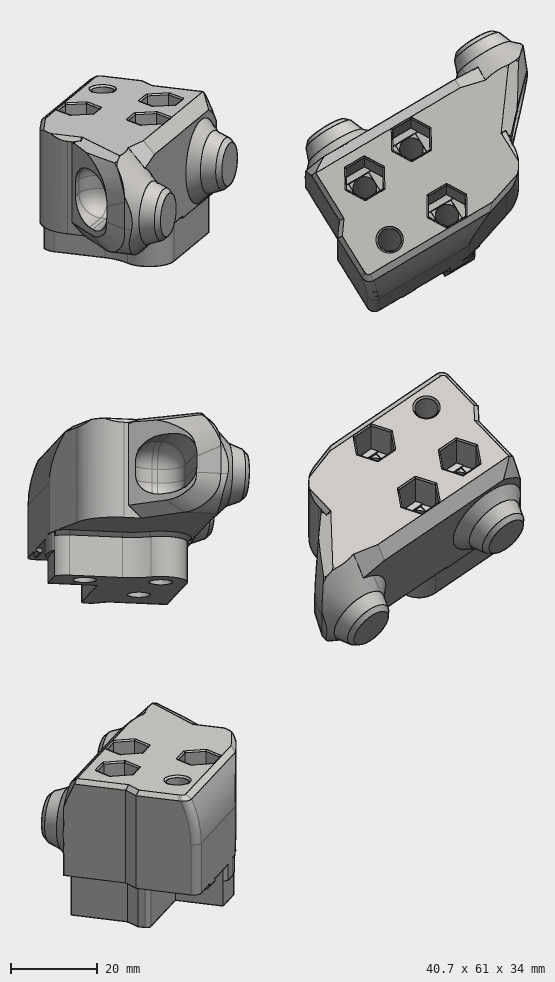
import cadquery as cq
import math

length_y = 60.95
height = 34.0
rear_bottom_z = 10.05
front_bottom_z = 10.5
right_x = 33.7
rear_step_y = 58.45
edge_chamfer = 1.05
right_chamfer = 2.9
far = 100.0

rear_corner_radius = 1.9
step_start_x = 15.2
step_end_x = 18.6
left_bend = (0.0, 34.75)
left_slant_end = (4.0, 22.2)
slant_chamfer_reach = 1.8
front_round_mid = (7.5, 16.9)
front_y = 14.9
front_round_end_x = 13.5
front_chamfer_end_x = 16.8

left_round_start_z = 22.2
left_round_mid = (0.68, 28.2)
left_round_end = (2.8, height)

wing_corner = (14.6, front_y)
wing_end = (28.0, 2.1)
wing_depth = 2.1
wing_face_bottom_z = 13.4
wing_face_top_z = 33.0
wing_face_round_start = 10.3
wing_face_arch_start = 3.5
wing_face_side_z = (19.0, 22.8)
wing_base_round_y = 6.8
wing_base_side_z = (18.5, 25.0)
wing_chamfer_drop = 1.1
wing_chamfer_inset = 2.4
wing_chamfer_start = (15.2, 14.13)
wing_chamfer_end = (36.5, -2.0)

boss_z = 20.2
front_boss_y = 8.6
boss_spacing = 40.0
boss_tip_x = 40.73
flare_end = (36.3, 7.4)
neck_end = (39.6, 6.14)
tip_radius = 5.09
flare_back = 16.0
corner_cone_base = (26.0, 24.0)
corner_cone_tip_x = 41.3
front_boss_blend_y = 11.6
turn_chamfer_start = (31.25, 8.2)
turn_chamfer_end_y = 18.2

recess_width = 12.08
recess_height = 14.0
recess_radius = 5.4
recess_x = 22.0
recess_z = 22.0
recess_end_y = 21.2

screw_diameter = 5.4
nut_width = 8.5
nut_chamfer = 0.35
nut_depth = 10.0
bridge_step = 0.3
plain_hole_chamfer = 0.45
plain_hole = (8.5, 51.0)
left_screw = (8.5, 35.55)
right_screw = (26.2, 34.45)
rear_screw = (23.9, 48.4)

foot_left_x = 0.9
foot_left_y = (32.9, 40.7)
foot_inner_x = 12.5
foot_rear_y = 59.5
foot_rear_step_y = 57.3
foot_front_y = 31.3
foot_corner_x = 4.0
foot_corner_radius = 3.8
foot_rear_radius = 1.1
foot_lobe_radius = 6.1
foot_blend_radius = 11.4
collar_height = 1.0
collar_end_y = 34.0
tab_bottom_z = 6.14
tab_y = (36.4, 39.7)
tab_front = (0.36, 34.0)
clip_y = 51.0
clip_half_widths = (1.85, 2.95)
clip_depth = 1.0
clip_bottom_z = 8.95
clip_chamfer = 0.5


def block(x0, x1, y0, y1, z0, z1):
    """Box between the given limits."""
    return cq.Workplane("XY").box(x1 - x0, y1 - y0, z1 - z0, centered=False).translate((x0, y0, z0))


wing_run = math.hypot(wing_end[0] - wing_corner[0], wing_end[1] - wing_corner[1])
along = ((wing_end[0] - wing_corner[0]) / wing_run, (wing_end[1] - wing_corner[1]) / wing_run)
inward = (-along[1], along[0])
base_origin = (wing_corner[0] + wing_depth * inward[0], wing_corner[1] + wing_depth * inward[1])


def base_at_y(y):
    """Distance along the larger wing face at which it reaches the given y."""
    return (y - base_origin[1]) / along[1]


def base_x_at_y(y):
    """X of the larger wing face at the given y."""
    return base_origin[0] + base_at_y(y) * along[0]


def wing_wire(origin, start, bottom, round_start, side, side_z, arch_start, top):
    """Six-sided wing section: flat bottom, quarter-ellipse corners and an upright side."""
    plane = cq.Plane(origin=(origin[0], origin[1], 0), xDir=(along[0], along[1], 0),
                     normal=(inward[0], inward[1], 0))
    sketch = cq.Workplane(plane).moveTo(start, -bottom).lineTo(round_start, -bottom)
    low, high = side_z
    diagonal = math.sqrt(0.5)
    low_mid = (round_start + diagonal * (side - round_start), -low + diagonal * (low - bottom))
    sketch = sketch.spline([low_mid, (side, -low)], tangents=[(1, 0), (0, -1)], includeCurrent=True)
    sketch = sketch.lineTo(side, -high)
    high_mid = (arch_start + diagonal * (side - arch_start), -high - diagonal * (top - high))
    sketch = sketch.spline([high_mid, (arch_start, -top)], tangents=[(0, -1), (-1, 0)], includeCurrent=True)
    return sketch.lineTo(start, -top).close().wire().val()


def edge_wedge(p, q, drop, inset, reach=0.2):
    """Wedge removing the top edge p-q of a face; the body lies to the left of p-q.

    The wedge extends past the face by reach times the inset.
    """
    run = math.hypot(q[0] - p[0], q[1] - p[1])
    plane = cq.Plane(origin=(p[0], p[1], height), xDir=((p[1] - q[1]) / run, (q[0] - p[0]) / run, 0),
                     normal=((q[0] - p[0]) / run, (q[1] - p[1]) / run, 0))
    outside = -inset * reach
    return (
        cq.Workplane(plane)
        .polyline([(inset, 0), (outside, -drop * (reach + 1)), (outside, drop), (inset, drop)])
        .close().extrude(run)
    )


def make_body():
    """Main block with its curved left side and chamfered top edges."""
    cut_y = front_boss_blend_y
    body = (
        cq.Workplane("XY").workplane(offset=rear_bottom_z)
        .moveTo(0, length_y).lineTo(step_start_x, length_y).lineTo(step_end_x, rear_step_y)
        .lineTo(right_x, rear_step_y).lineTo(right_x, cut_y).lineTo(base_x_at_y(cut_y), cut_y)
        .lineTo(base_x_at_y(front_y), front_y).lineTo(front_round_end_x, front_y)
        .threePointArc(front_round_mid, left_slant_end).lineTo(*left_bend).close()
        .extrude(height - rear_bottom_z)
    )
    left_profile = (
        cq.Workplane("XZ").moveTo(0, 0).lineTo(0, left_round_start_z)
        .threePointArc(left_round_mid, left_round_end).lineTo(far, height)
        .lineTo(far, 0).close().extrude(-far)
    )
    body = body.intersect(left_profile)
    rear_corner = cq.selectors.BoxSelector((-1, length_y - 0.1, 0), (left_round_end[0], far, height - 1))
    body = body.edges(rear_corner).fillet(rear_corner_radius)
    rear_edges = cq.selectors.BoxSelector((-1, rear_step_y - 1, height - 0.1), (far, far, height + 1))
    body = body.edges(rear_edges).chamfer(edge_chamfer)
    body = body.cut(block(-1, far, -1, tab_y[0], 0, front_bottom_z))
    right_edge = edge_wedge((right_x, 0), (right_x, length_y), right_chamfer, right_chamfer)
    turn_edge = edge_wedge(turn_chamfer_start, (right_x, turn_chamfer_end_y), right_chamfer, right_chamfer,
                           reach=0.7)
    return body.cut(right_edge).cut(turn_edge)


def make_boss(y):
    """Turned boss with a 45 degree flare reaching back into the body."""
    return (
        cq.Workplane("XY")
        .polyline([(flare_end[0] - flare_back, 0), (flare_end[0] - flare_back, flare_end[1] + flare_back),
                   flare_end, neck_end, (boss_tip_x, tip_radius), (boss_tip_x, 0)])
        .close().revolve(360, (0, 0, 0), (1, 0, 0)).translate((0, y, boss_z))
    )


def make_wing():
    """Slanted wing: a lofted nose, then a straight run to the right ending in the front boss."""
    face_wire = wing_wire(wing_corner, 0, wing_face_bottom_z, wing_face_round_start, wing_run,
                          wing_face_side_z, wing_face_arch_start, wing_face_top_z)
    round_start = base_at_y(wing_base_round_y)
    base_wire = wing_wire(base_origin, base_at_y(front_y), front_bottom_z, round_start, base_at_y(0),
                          wing_base_side_z, round_start, height)
    nose = cq.Workplane(cq.Solid.makeLoft([face_wire, base_wire], True))
    rear = cq.Workplane(cq.Solid.extrudeLinear(base_wire, [], cq.Vector(far, 0, 0)))
    rear = rear.intersect(make_boss(front_boss_y))
    return nose.union(rear)


def make_upper():
    """Body with the wing, both bosses and the remaining trims."""
    body = make_body()
    rear_boss_y = front_boss_y + boss_spacing
    base_x = corner_cone_base[0]
    cone = (
        cq.Workplane("XY").polyline([(base_x, 0), corner_cone_base, (corner_cone_tip_x, 0)])
        .close().revolve(360, (0, 0, 0), (1, 0, 0)).translate((0, rear_boss_y, boss_z))
    )
    corner = block(base_x, right_x + 1, rear_boss_y, length_y, boss_z, height).cut(cone)
    body = body.cut(corner)
    rear_boss = make_boss(rear_boss_y).intersect(
        block(right_x - 1, far, 0, rear_step_y, rear_bottom_z, height))
    front_boss = make_boss(front_boss_y).intersect(
        block(right_x - 1, far, front_boss_y, far, front_bottom_z, height))
    body = body.union(make_wing()).union(rear_boss).union(front_boss)
    slant_chamfer_end = (left_bend[0] + slant_chamfer_reach * (left_slant_end[0] - left_bend[0]),
                         left_bend[1] + slant_chamfer_reach * (left_slant_end[1] - left_bend[1]))
    body = body.cut(edge_wedge(left_bend, slant_chamfer_end, edge_chamfer, edge_chamfer))
    body = body.cut(edge_wedge((0, front_y), (front_chamfer_end_x, front_y), edge_chamfer, edge_chamfer))
    body = body.cut(edge_wedge(wing_chamfer_start, wing_chamfer_end, wing_chamfer_drop, wing_chamfer_inset,
                               reach=1.0))
    return body


def foot_outline(plane_z):
    """Foot plan with a lobe about the right screw, blended into the front face."""
    lobe_x, lobe_y = right_screw
    centre_dy = lobe_y - (foot_front_y - foot_blend_radius)
    centre_dx = math.sqrt((foot_lobe_radius + foot_blend_radius) ** 2 - centre_dy ** 2)
    blend_x = lobe_x - centre_dx
    blend_y = foot_front_y - foot_blend_radius
    share = foot_lobe_radius / (foot_lobe_radius + foot_blend_radius)
    joint = (lobe_x - share * centre_dx, lobe_y - share * centre_dy)
    joint_angle = math.atan2(joint[1] - blend_y, joint[0] - blend_x)
    mid_angle = (joint_angle + math.pi / 2) / 2
    blend_mid = (blend_x + foot_blend_radius * math.cos(mid_angle),
                 blend_y + foot_blend_radius * math.sin(mid_angle))
    lobe_right = lobe_x + foot_lobe_radius
    return (
        cq.Workplane("XY").workplane(offset=plane_z)
        .moveTo(foot_corner_x, foot_front_y).lineTo(blend_x, foot_front_y)
        .threePointArc(blend_mid, joint)
        .threePointArc((lobe_x, lobe_y - foot_lobe_radius), (lobe_right, lobe_y))
        .lineTo(lobe_right, foot_rear_step_y).lineTo(step_end_x, foot_rear_step_y)
        .lineTo(step_start_x, foot_rear_y).lineTo(foot_inner_x + foot_rear_radius, foot_rear_y)
        .radiusArc((foot_inner_x, foot_rear_y - foot_rear_radius), -foot_rear_radius)
        .lineTo(foot_inner_x, foot_left_y[1]).lineTo(foot_left_x, foot_left_y[1])
        .lineTo(foot_left_x, foot_left_y[0])
        .radiusArc((foot_corner_x, foot_front_y), -foot_corner_radius).close()
    )


def make_tab():
    """Tab joining the left face of the body to the foot."""
    inner_x = foot_left_x + 1
    return (
        cq.Workplane("XY").workplane(offset=tab_bottom_z)
        .polyline([(0, tab_y[0]), (0, tab_y[1]), (foot_left_x, foot_left_y[1]), (inner_x, foot_left_y[1]),
                   (inner_x, foot_left_y[0]), (foot_left_x, foot_left_y[0]), tab_front])
        .close().extrude(front_bottom_z - tab_bottom_z)
    )


def make_clip():
    """Small lip below the left edge of the body, chamfered along its lower edge."""
    outer, inner = clip_half_widths
    clip = (
        cq.Workplane("XY").workplane(offset=clip_bottom_z)
        .polyline([(0, clip_y - outer), (clip_depth, clip_y - inner),
                   (clip_depth, clip_y + inner), (0, clip_y + outer)])
        .close().extrude(front_bottom_z - clip_bottom_z)
    )
    return clip.edges("<X and <Z").chamfer(clip_chamfer)


def make_foot():
    """Foot with a flared collar at its front, the tab and the lip."""
    foot = foot_outline(0).extrude(front_bottom_z)
    collar = foot_outline(front_bottom_z - collar_height).extrude(collar_height, taper=-45)
    foot = foot.union(collar.intersect(block(foot_left_x, far, 0, collar_end_y, 0, height)))
    return foot.union(make_tab()).union(make_clip())


def hexagon(centre, width, z):
    """Hexagon with two corners on the Y axis; width is across its flats."""
    corner_diameter = 2 * width / math.sqrt(3)
    return (cq.Workplane("XY").workplane(offset=z).center(*centre)
            .transformed(rotate=(0, 0, 90)).polygon(6, corner_diameter))


def nut_cutter(centre):
    """Hexagon pocket with a chamfered mouth, two bridging steps and a through hole."""
    floor_z = height - nut_depth
    cutter = hexagon(centre, nut_width, floor_z).extrude(nut_depth)
    mouth = hexagon(centre, nut_width, height - nut_chamfer).extrude(nut_chamfer, taper=-45)
    slot = hexagon(centre, nut_width, floor_z - bridge_step).extrude(bridge_step)
    half = screw_diameter / 2
    slot = slot.intersect(block(centre[0] - half, centre[0] + half, 0, far, 0, height))
    square = (cq.Workplane("XY").workplane(offset=floor_z - 2 * bridge_step).center(*centre)
              .rect(screw_diameter, screw_diameter).extrude(bridge_step))
    hole = cq.Workplane("XY").center(*centre).circle(half).extrude(height)
    return cutter.union(mouth).union(slot).union(square).union(hole)


def plain_hole_cutter():
    """Through hole with a chamfered mouth."""
    half = screw_diameter / 2
    hole = cq.Workplane("XY").center(*plain_hole).circle(half).extrude(height)
    mouth = (cq.Workplane("XY").workplane(offset=height - plain_hole_chamfer).center(*plain_hole)
             .circle(half).extrude(plain_hole_chamfer, taper=-45))
    return hole.union(mouth)


def recess_cutter():
    """Rounded bar along Y with a domed inner end."""
    bar_length = recess_end_y + 2 * recess_radius
    bar = block(recess_x - recess_width / 2, recess_x + recess_width / 2, recess_end_y - bar_length,
                recess_end_y, recess_z - recess_height / 2, recess_z + recess_height / 2)
    return bar.edges("|Y or >Y").fillet(recess_radius)


result = make_upper().union(make_foot())
for screw in (left_screw, right_screw, rear_screw):
    result = result.cut(nut_cutter(screw))
result = result.cut(plain_hole_cutter()).cut(recess_cutter())